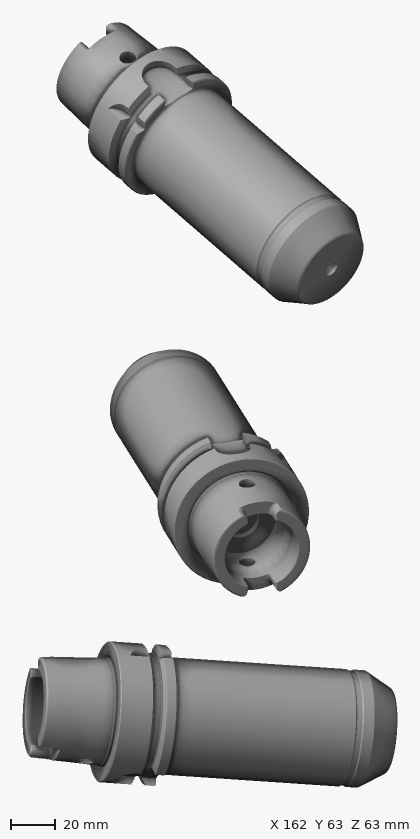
import cadquery as cq
import math

LENGTH = 162.0

TAPER_TIP_R = 22.7
TAPER_BASE_R = 24.05
TAPER_END_X = 30.1
TIP_ROUND_R = 1.1

FLANGE_R = 63.0 / 2
FLANGE_X = 31.9
FLANGE_END_X = 58.0
FLANGE_CHAMFER = 0.5
NECK_X = 30.8
NECK_BEVEL = 0.5
RELIEF_R = 25.5
RELIEF_DEPTH = 0.6
GROOVE_R = 27.5
GROOVE_X = 50.0
GROOVE_BASE_W = 3.7
GROOVE_BEVEL = 0.5
GROOVE_MOUTH_W = 6.6
GROOVE_WALL_ANGLE = 30

BODY_R = 52.5 / 2
ROOT_BEVEL = 0.6
RING_R = 51.5 / 2
RING_START_X = 141.3
RING_END_X = 144.8
RING_BEVEL = 0.6
NOSE_X = 149.7
NOSE_ANGLE = 30
NOSE_CHAMFER = 0.6

BORE_R = 34.0 / 2
MOUTH_ROUND_R = 0.5
BORE_END_X = 12.5
POCKET_R = 16.2
POCKET_X = 19.5
POCKET_END_X = 32.4
SEAT_R = 16.8 / 2
SEAT_END_X = 35.6
COOLANT_R = 7.0 / 2

SLOT_W = 12.5
SLOT_TOP_DEPTH = 6.2
SLOT_BOTTOM_DEPTH = 9.7
SLOT_CORNER_R = 1.5
SLOT_FLARE_R = 3.2
SLOT_FLARE_Z = 17.3
SLOT_LEAD_IN = 0.8

ACCESS_R = 7.5 / 2
ACCESS_X = 23.0

TOP_NOTCH_W = 16.2
BOTTOM_NOTCH_W = 18.0
MARK_NOTCH_W = 16.2
NOTCH_FLOOR = 26.5
NOTCH_CENTER_X = 45.2
MARK_EDGE_Y = 20.1
MARK_FLOOR_Z = 19.8


def body_of_revolution():
    """Outer form: taper shank, grooved flange, body, ring groove and nose."""
    mouth_half = GROOVE_MOUTH_W / 2
    base_half = GROOVE_BASE_W / 2
    floor_half = base_half - GROOVE_BEVEL
    wall_run = mouth_half - base_half
    wall_r = FLANGE_R - wall_run / math.tan(math.radians(GROOVE_WALL_ANGLE))
    nose_chamfer_x = LENGTH - NOSE_CHAMFER
    nose_r = BODY_R - (nose_chamfer_x - NOSE_X) * math.tan(math.radians(NOSE_ANGLE))
    outline = [
        (0, 0),
        (0, TAPER_TIP_R),
        (TAPER_END_X, TAPER_BASE_R),
        (NECK_X, TAPER_BASE_R),
        (NECK_X + NECK_BEVEL, TAPER_BASE_R + NECK_BEVEL),
        (FLANGE_X + RELIEF_DEPTH, TAPER_BASE_R + NECK_BEVEL),
        (FLANGE_X, RELIEF_R),
        (FLANGE_X, FLANGE_R - FLANGE_CHAMFER),
        (FLANGE_X + FLANGE_CHAMFER, FLANGE_R),
        (GROOVE_X - mouth_half, FLANGE_R),
        (GROOVE_X - base_half, wall_r),
        (GROOVE_X - base_half, GROOVE_R + GROOVE_BEVEL),
        (GROOVE_X - floor_half, GROOVE_R),
        (GROOVE_X + floor_half, GROOVE_R),
        (GROOVE_X + base_half, GROOVE_R + GROOVE_BEVEL),
        (GROOVE_X + base_half, wall_r),
        (GROOVE_X + mouth_half, FLANGE_R),
        (FLANGE_END_X - FLANGE_CHAMFER, FLANGE_R),
        (FLANGE_END_X, FLANGE_R - FLANGE_CHAMFER),
        (FLANGE_END_X, BODY_R + ROOT_BEVEL),
        (FLANGE_END_X + ROOT_BEVEL, BODY_R),
        (RING_START_X, BODY_R),
        (RING_START_X + RING_BEVEL, RING_R),
        (RING_END_X - RING_BEVEL, RING_R),
        (RING_END_X, BODY_R),
        (NOSE_X, BODY_R),
        (nose_chamfer_x, nose_r),
        (LENGTH, nose_r - NOSE_CHAMFER),
        (LENGTH, 0),
    ]
    return cq.Workplane("XY").polyline(outline).close().revolve(360, (0, 0, 0), (1, 0, 0))


def bore():
    """Stepped cavity from the shank tip, continued by the coolant hole."""
    outline = [
        (0, 0),
        (0, BORE_R),
        (BORE_END_X, BORE_R),
        (POCKET_X, POCKET_R),
        (POCKET_END_X, POCKET_R),
        (POCKET_END_X, SEAT_R),
        (SEAT_END_X, SEAT_R),
        (SEAT_END_X, COOLANT_R),
        (LENGTH, COOLANT_R),
        (LENGTH, 0),
    ]
    return cq.Workplane("XY").polyline(outline).close().revolve(360, (0, 0, 0), (1, 0, 0))


def drive_slot(depth):
    """Slot at the +Z side of the tip, with flared sides and rounded inner corners and beveled entry."""
    half = SLOT_W / 2
    wide = half + SLOT_FLARE_R
    flare_top = SLOT_FLARE_Z + SLOT_FLARE_R
    mid = SLOT_FLARE_R * (1 - math.sqrt(0.5))
    mid_z = SLOT_FLARE_Z + SLOT_FLARE_R * math.sqrt(0.5)
    slot = (
        cq.Workplane("YZ")
        .moveTo(-half, 0)
        .lineTo(-half, SLOT_FLARE_Z)
        .threePointArc((-half - mid, mid_z), (-wide, flare_top))
        .lineTo(-wide, FLANGE_R)
        .lineTo(wide, FLANGE_R)
        .lineTo(wide, flare_top)
        .threePointArc((half + mid, mid_z), (half, SLOT_FLARE_Z))
        .lineTo(half, 0)
        .close()
        .extrude(depth)
        .faces(">X")
        .edges("|Z")
        .fillet(SLOT_CORNER_R)
    )
    lead_in = (
        cq.Workplane("XY")
        .polyline([
            (0, -half - SLOT_LEAD_IN),
            (SLOT_LEAD_IN, -half),
            (SLOT_LEAD_IN, half),
            (0, half + SLOT_LEAD_IN),
        ])
        .close()
        .extrude(FLANGE_R)
    )
    return slot.union(lead_in)


def round_ended_notch(width, center_y, floor_z):
    """Milled notch running along X from its round end out past the flange."""
    height = FLANGE_R - floor_z
    run = FLANGE_END_X - NOTCH_CENTER_X
    straight = cq.Workplane("XY").box(run, width, height, centered=(False, True, False))
    round_end = cq.Workplane("XY").circle(width / 2).extrude(height)
    return straight.union(round_end).translate((NOTCH_CENTER_X, center_y, floor_z))


def access_hole():
    return (
        cq.Workplane("XY", origin=(ACCESS_X, 0, -FLANGE_R))
        .circle(ACCESS_R)
        .extrude(2 * FLANGE_R)
    )


def half_turn(shape):
    return shape.rotate((0, 0, 0), (1, 0, 0), 180)


inner_rim = cq.selectors.RadiusNthSelector(0)
outer_rim = cq.selectors.RadiusNthSelector(-1)

result = body_of_revolution().cut(bore())
result = result.faces("<X").edges(outer_rim).fillet(TIP_ROUND_R)
result = result.faces("<X").edges(inner_rim).fillet(MOUTH_ROUND_R)
result = result.cut(drive_slot(SLOT_TOP_DEPTH))
result = result.cut(half_turn(drive_slot(SLOT_BOTTOM_DEPTH)))
result = result.cut(access_hole())

top_notch = round_ended_notch(TOP_NOTCH_W, 0, NOTCH_FLOOR)
bottom_notch = half_turn(round_ended_notch(BOTTOM_NOTCH_W, 0, NOTCH_FLOOR))
mark_notch = round_ended_notch(MARK_NOTCH_W, -MARK_EDGE_Y - MARK_NOTCH_W / 2, MARK_FLOOR_Z)
result = result.cut(top_notch).cut(bottom_notch).cut(mark_notch)